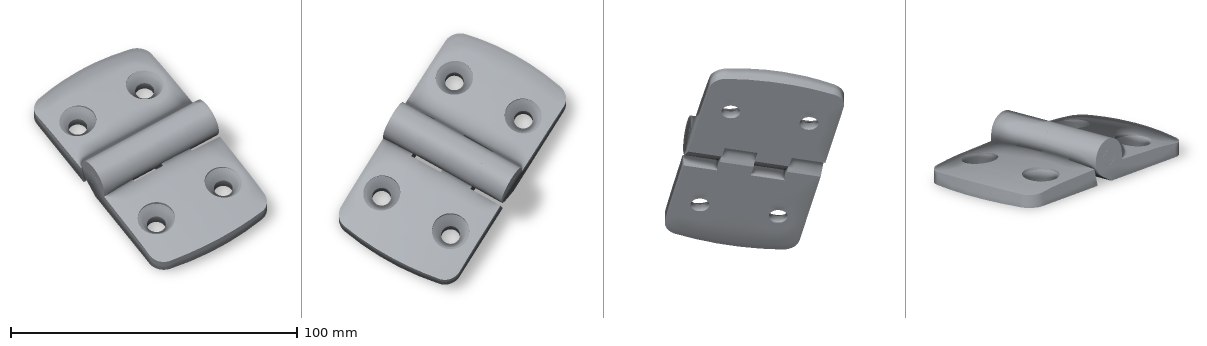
import cadquery as cq
import math

length = 87.0
width = 48.0
height = 15.9

barrel_diameter = 14.0
bore_diameter = 6.0
pin_diameter = 5.9
knuckle_count = 4
foot_angle = 30.0
knuckle_width = width / knuckle_count
barrel_radius = barrel_diameter / 2
axis_height = height - barrel_radius

end_bow_radius = 100.0
corner_radius = 6.0

crown_height = 8.0
seam_height = 7.5
end_height = 5.5
edge_height = 6.5

relief_start = 6.0
relief_angle = 15.0

screw_diameter = 6.6
head_diameter = 13.05
screw_offset = 25.0
screw_spacing = 28.0
head_seat_height = 6.4
cone_angle = 90.0

half_length = length / 2
half_width = width / 2

foot_sin = math.sin(math.radians(foot_angle))
foot_cos = math.cos(math.radians(foot_angle))
tangent_point = (-barrel_radius * foot_sin, axis_height - barrel_radius * foot_cos)
foot_start = (axis_height * foot_cos - barrel_radius) / foot_sin


def extrude_along_y(profile, y_start, depth):
    """Extrude a closed XZ profile toward +Y, beginning at y_start."""
    return profile.extrude(-depth).translate((0, y_start, 0))


def make_blank():
    """Flat leaf blank with a bowed outer end and rounded outer corners."""
    bow_drop = end_bow_radius - math.sqrt(end_bow_radius**2 - half_width**2)
    corner_x = half_length - bow_drop
    blank = (
        cq.Workplane("XY")
        .moveTo(foot_start, -half_width)
        .lineTo(corner_x, -half_width)
        .threePointArc((half_length, 0), (corner_x, half_width))
        .lineTo(foot_start, half_width)
        .close()
        .extrude(crown_height)
    )
    outer_half = cq.selectors.BoxSelector((screw_offset, -width, 0), (length, width, crown_height))
    return blank.edges("|Z").edges(outer_half).fillet(corner_radius)


def make_dome():
    """Solid under the domed top: the lengthwise crown swung about an axis parallel to X."""
    edge_drop = crown_height - edge_height
    swing_radius = (half_width**2 + edge_drop**2) / (2 * edge_drop)
    swing_height = crown_height - swing_radius
    return (
        cq.Workplane("XZ")
        .moveTo(-screw_offset, seam_height)
        .threePointArc((0, crown_height), (screw_offset, seam_height))
        .tangentArcPoint((half_length, end_height), relative=False)
        .lineTo(half_length, swing_height)
        .lineTo(-screw_offset, swing_height)
        .close()
        .revolve(360, (0, swing_height), (1, swing_height))
    )


def make_relief(y_start):
    """Cutter with a leaning face that clears one knuckle of the other leaf."""
    relief_end = relief_start + crown_height * math.tan(math.radians(relief_angle))
    profile = cq.Workplane("XZ").polyline(
        [(0, 0), (relief_start, 0), (relief_end, crown_height), (0, crown_height)]
    ).close()
    return extrude_along_y(profile, y_start, knuckle_width)


def make_knuckle(y_start):
    """Barrel segment with an upright side toward its leaf and a sloping flat underneath."""
    web_profile = cq.Workplane("XZ").polyline(
        [(0, axis_height), tangent_point, (foot_start, 0), (barrel_radius, 0), (barrel_radius, axis_height)]
    ).close()
    barrel_profile = cq.Workplane("XZ").center(0, axis_height).circle(barrel_radius)
    web = extrude_along_y(web_profile, y_start, knuckle_width)
    return web.union(extrude_along_y(barrel_profile, y_start, knuckle_width))


def make_screw_cutter(y_position):
    """Through hole with a cone and a straight rim for a countersunk head."""
    cone_depth = (head_diameter - screw_diameter) / 2 / math.tan(math.radians(cone_angle / 2))
    cone_base = head_seat_height - cone_depth
    return (
        cq.Workplane("XZ")
        .polyline([
            (0, 0),
            (screw_diameter / 2, 0),
            (screw_diameter / 2, cone_base),
            (head_diameter / 2, head_seat_height),
            (head_diameter / 2, crown_height),
            (0, crown_height),
        ])
        .close()
        .revolve(360, (0, 0), (0, 1))
        .translate((screw_offset, y_position, 0))
    )


def make_rod(diameter):
    """Full-width cylinder on the hinge axis."""
    profile = cq.Workplane("XZ").center(0, axis_height).circle(diameter / 2)
    return extrude_along_y(profile, -half_width, width)


def make_leaf():
    """Leaf on the +X side; its knuckles alternate with reliefs, starting with a knuckle at -Y."""
    leaf = make_blank().intersect(make_dome())
    for index in range(knuckle_count):
        y_start = -half_width + index * knuckle_width
        if index % 2 == 0:
            leaf = leaf.union(make_knuckle(y_start))
        else:
            leaf = leaf.cut(make_relief(y_start))
    for side in (-1, 1):
        leaf = leaf.cut(make_screw_cutter(side * screw_spacing / 2))
    return leaf.cut(make_rod(bore_diameter))


leaves = [make_leaf().rotate((0, 0, 0), (0, 0, 1), turn) for turn in (0, 180)]
pin = make_rod(pin_diameter)

result = cq.Compound.makeCompound([*[leaf.val() for leaf in leaves], pin.val()])